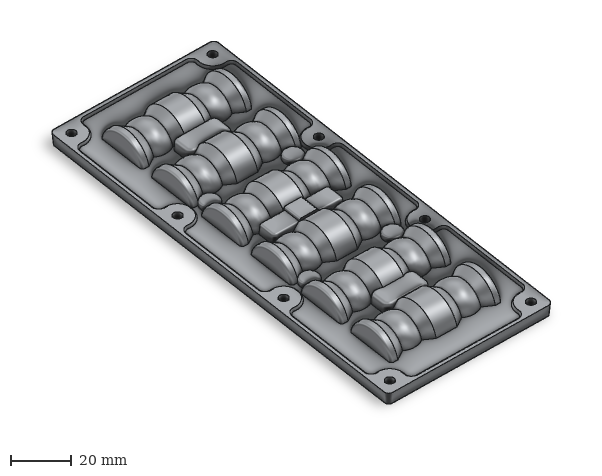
import cadquery as cq
import math

PLATE_LENGTH = 173.0
PLATE_WIDTH = 71.5
PLATE_THICKNESS = 5.2
PLATE_CORNER_RADIUS = 2.0
PLATE_DRAFT_ANGLE = 5.0

HOLE_DIAMETER = 3.6
HOLE_EDGE_DISTANCE = 5.2
HOLES_PER_ROW = 4

RECESS_DEPTH = 1.0
RECESS_WALL_ANGLE = 30.0
RIM_WIDTH = 1.5
HOLE_PAD_RADIUS = 5.9
RECESS_CORNER_RADIUS = 2.6

ROLLER_COUNT = 6
ROLLER_PITCH = 25.5
ROLLER_RADIUS = 10.9
ROLLER_TOP = 12.8
ROLLER_HALF_LENGTH = 24.0
ROLLER_END_ROUND = 1.2
WAIST_RADIUS = 8.5
BEAD_RADIUS = 9.7
BELLY_END_Y = 4.5
INNER_WAIST_Y = 8.6
OUTER_WAIST_Y = 17.0
COLLAR_START_Y = 21.1

BOSS_RADIUS = 4.0
BOSS_TOP_ROUND = 1.0
BOSS_RISE = 1.0
BOSS_Y = 18.0

BLOCK_RISE = 3.1
BLOCK_DRAFT_ANGLE = 5.0
SIDE_BLOCK_X = 50.3
SIDE_BLOCK_WIDTH = 10.2
SIDE_BLOCK_LENGTH = 19.4
SIDE_BLOCK_CORNER_RADIUS = 2.8
SIDE_BLOCK_TOP_ROUND = 1.7
CENTRE_BLOCK_WIDTH = 9.0
CENTRE_BLOCK_LENGTH = 30.8
CENTRE_BLOCK_CORNER_RADIUS = 1.7
CENTRE_BLOCK_TOP_ROUND = 1.2
BRIDGE_RISE = 4.3
BRIDGE_TOP_ROUND = 1.0

FLOOR_Z = PLATE_THICKNESS - RECESS_DEPTH
ROLLER_AXIS_Z = ROLLER_TOP - ROLLER_RADIUS

hole_span_x = PLATE_LENGTH - 2 * HOLE_EDGE_DISTANCE
hole_span_y = PLATE_WIDTH - 2 * HOLE_EDGE_DISTANCE
hole_spacing_x = hole_span_x / (HOLES_PER_ROW - 1)


def at_holes(plane):
    """Place the screw hole positions on a workplane."""
    return plane.rarray(hole_spacing_x, hole_span_y, HOLES_PER_ROW, 2)


def make_plate():
    """Rounded plate whose sides taper inward towards the underside."""
    outline = cq.Sketch().rect(PLATE_LENGTH, PLATE_WIDTH).vertices().fillet(PLATE_CORNER_RADIUS)
    return (
        cq.Workplane("XY", origin=(0, 0, PLATE_THICKNESS))
        .placeSketch(outline)
        .extrude(-PLATE_THICKNESS, taper=PLATE_DRAFT_ANGLE)
    )


def make_recess():
    """Material removed from the plate top, with sloping walls."""
    top = cq.Workplane("XY", origin=(0, 0, PLATE_THICKNESS))
    pads = at_holes(top).circle(HOLE_PAD_RADIUS).extrude(-RECESS_DEPTH)
    outline = (
        top.rect(PLATE_LENGTH - 2 * RIM_WIDTH, PLATE_WIDTH - 2 * RIM_WIDTH)
        .extrude(-RECESS_DEPTH)
        .cut(pads)
        .edges("|Z")
        .fillet(RECESS_CORNER_RADIUS)
        .faces(">Z")
        .wires()
    )
    return outline.toPending().extrude(-RECESS_DEPTH, combine=False, taper=RECESS_WALL_ANGLE)


def make_roller():
    """Upper half of one roller, centred on X = 0."""
    bead_y = (INNER_WAIST_Y + OUTER_WAIST_Y) / 2
    round_start_y = ROLLER_HALF_LENGTH - ROLLER_END_ROUND
    round_mid = ROLLER_END_ROUND * math.sqrt(0.5)
    half_profile = (
        cq.Workplane("XY", origin=(0, 0, ROLLER_AXIS_Z))
        .lineTo(ROLLER_RADIUS, 0)
        .lineTo(ROLLER_RADIUS, BELLY_END_Y)
        .lineTo(WAIST_RADIUS, INNER_WAIST_Y)
        .threePointArc((BEAD_RADIUS, bead_y), (WAIST_RADIUS, OUTER_WAIST_Y))
        .lineTo(ROLLER_RADIUS, COLLAR_START_Y)
        .lineTo(ROLLER_RADIUS, round_start_y)
        .threePointArc(
            (ROLLER_RADIUS - ROLLER_END_ROUND + round_mid, round_start_y + round_mid),
            (ROLLER_RADIUS - ROLLER_END_ROUND, ROLLER_HALF_LENGTH),
        )
        .lineTo(0, ROLLER_HALF_LENGTH)
        .close()
    )
    half = half_profile.revolve(180, (0, 0, 0), (0, -1, 0))
    return half.union(half.mirror("XZ"))


def make_boss():
    """Round boss with a rounded top edge, standing on the recess floor."""
    return (
        cq.Workplane("XY", origin=(0, 0, FLOOR_Z))
        .circle(BOSS_RADIUS)
        .extrude(RECESS_DEPTH + BOSS_RISE)
        .faces(">Z")
        .edges()
        .fillet(BOSS_TOP_ROUND)
    )


def make_block(width, length, corner_radius, top_round):
    """Tapered block on the recess floor with rounded corners and top edge."""
    outline = cq.Sketch().rect(width, length).vertices().fillet(corner_radius)
    return (
        cq.Workplane("XY", origin=(0, 0, FLOOR_Z))
        .placeSketch(outline)
        .extrude(RECESS_DEPTH + BLOCK_RISE, taper=BLOCK_DRAFT_ANGLE)
        .faces(">Z")
        .edges()
        .fillet(top_round)
    )


def make_bridge():
    """Raised band across the middle of the centre block, as long as the roller belly."""
    return (
        cq.Workplane("XY", origin=(0, 0, FLOOR_Z))
        .rect(CENTRE_BLOCK_WIDTH, 2 * BELLY_END_Y)
        .extrude(RECESS_DEPTH + BRIDGE_RISE, taper=BLOCK_DRAFT_ANGLE)
        .faces(">Z")
        .edges("|X")
        .fillet(BRIDGE_TOP_ROUND)
    )


result = make_plate().cut(make_recess())

roller = make_roller()
for index in range(ROLLER_COUNT):
    roller_x = (index - (ROLLER_COUNT - 1) / 2) * ROLLER_PITCH
    result = result.union(roller.translate((roller_x, 0, 0)))

boss = make_boss()
side_block = make_block(
    SIDE_BLOCK_WIDTH, SIDE_BLOCK_LENGTH, SIDE_BLOCK_CORNER_RADIUS, SIDE_BLOCK_TOP_ROUND
)
for side in (-1, 1):
    result = result.union(side_block.translate((side * SIDE_BLOCK_X, 0, 0)))
    for end in (-1, 1):
        result = result.union(boss.translate((side * ROLLER_PITCH, end * BOSS_Y, 0)))

centre_block = make_block(
    CENTRE_BLOCK_WIDTH, CENTRE_BLOCK_LENGTH, CENTRE_BLOCK_CORNER_RADIUS, CENTRE_BLOCK_TOP_ROUND
)
result = result.union(centre_block).union(make_bridge())

screw_holes = at_holes(cq.Workplane("XY")).circle(HOLE_DIAMETER / 2).extrude(PLATE_THICKNESS)
result = result.cut(screw_holes)